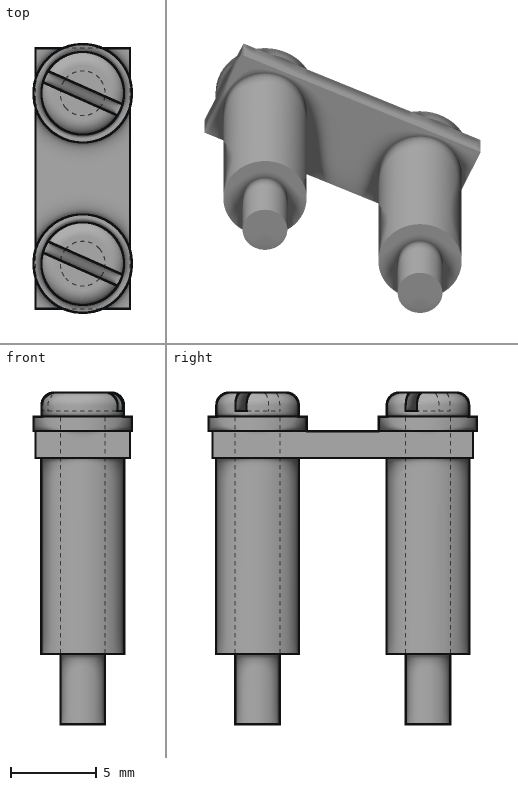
import cadquery as cq

plate_width = 5.55
plate_length = 15.3
plate_thickness = 1.58
post_pitch = 10.0

total_height = 19.5
shank_diameter = 2.63
tip_length = 4.13
head_diameter = 4.85
head_height = 1.42
head_flat_diameter = 3.3
head_bottom_radius = 0.12
slot_width = 0.72
slot_depth = 1.1
slot_overrun = 0.39
slot_angle = -24.0

washer_diameter = 5.8
washer_thickness = 0.85
sleeve_diameter = 4.9

head_seat_z = total_height - head_height
plate_top_z = head_seat_z - washer_thickness
plate_bottom_z = plate_top_z - plate_thickness
sleeve_length = plate_bottom_z - tip_length

head_top_radius = (head_diameter - head_flat_diameter) / 2

post_positions = [(0, -post_pitch / 2), (0, post_pitch / 2)]


def make_plate():
    """Rectangular bridge with one shank hole per post."""
    plate = cq.Workplane("XY", origin=(0, 0, plate_bottom_z)).rect(plate_width, plate_length)
    plate = plate.extrude(plate_thickness)
    return plate.faces(">Z").workplane().pushPoints(post_positions).hole(shank_diameter)


def make_ring(diameter, bottom_z, height):
    """Ring around the Z axis that fits the screw shank."""
    ring = cq.Workplane("XY", origin=(0, 0, bottom_z)).circle(diameter / 2)
    return ring.circle(shank_diameter / 2).extrude(height)


def make_washer():
    return make_ring(washer_diameter, plate_top_z, washer_thickness)


def make_sleeve():
    return make_ring(sleeve_diameter, tip_length, sleeve_length)


def make_screw():
    """Slotted pan-head screw standing on the origin."""
    shank = cq.Workplane("XY").circle(shank_diameter / 2).extrude(head_seat_z)
    head = cq.Workplane("XY", origin=(0, 0, head_seat_z)).circle(head_diameter / 2).extrude(head_height)
    head = head.faces(">Z").edges().fillet(head_top_radius)
    head = head.faces("<Z").edges().fillet(head_bottom_radius)
    slot_length = head_diameter + 2 * slot_overrun
    slot = cq.Workplane("XY", origin=(0, 0, total_height - slot_depth)).rect(slot_length, slot_width)
    slot = slot.extrude(slot_depth).rotate((0, 0, 0), (0, 0, 1), slot_angle)
    return shank.union(head).cut(slot)


bodies = [make_plate().val()]
for x, y in post_positions:
    for make_body in (make_sleeve, make_washer, make_screw):
        bodies.append(make_body().translate((x, y, 0)).val())

result = cq.Compound.makeCompound(bodies)